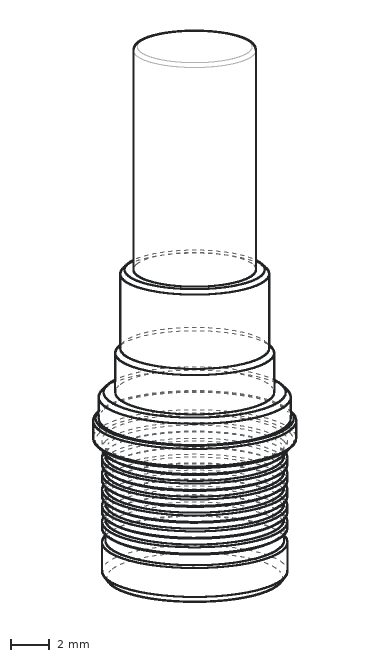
import cadquery as cq

total_height = 28.5
sleeve_radius = 4.8
groove_radius = 4.62
flange_radius = 5.25
shoulder_radius = 4.95
collar_radius = 4.1
neck_radius = 3.85
pin_radius = 3.15

flange_bottom = 7.35
flange_top = 8.55
shoulder_top = 9.95
collar_top = 12.3
neck_top = 16.53

wall_rise = 0.1
wall_slope = sleeve_radius - groove_radius
lowest_floor_bottom = 2.0
first_ring_bottom = 2.56
ring_count = 5
ring_pitch = 0.85
ring_thickness = 0.55

base_chamfer_height = 0.35
base_chamfer_width = 0.25
flange_chamfer = 0.128
shoulder_chamfer = 0.25
collar_chamfer = collar_radius - neck_radius
neck_chamfer = 0.23
pin_fillet = 0.2


def cylinder(radius, bottom, top):
    """Upright cylinder on the part axis between two heights."""
    return cq.Workplane("XY").workplane(offset=bottom).circle(radius).extrude(top - bottom)


def groove(floor_bottom, floor_top):
    """Ring-shaped cutter for a flat-bottomed groove with sloping walls."""
    profile = [
        (groove_radius, floor_bottom),
        (sleeve_radius, floor_bottom - wall_rise),
        (sleeve_radius + wall_slope, floor_bottom - wall_rise),
        (sleeve_radius + wall_slope, floor_top + wall_rise),
        (sleeve_radius, floor_top + wall_rise),
        (groove_radius, floor_top),
    ]
    return cq.Workplane("XZ").polyline(profile).close().revolve(360, (0, 0, 0), (0, 1, 0))


sleeve = (
    cylinder(sleeve_radius, 0, flange_bottom)
    .faces("<Z")
    .chamfer(base_chamfer_height, base_chamfer_width)
)
floor_bottom = lowest_floor_bottom
for ring in range(ring_count + 1):
    ring_bottom = first_ring_bottom + ring * ring_pitch
    sleeve = sleeve.cut(groove(floor_bottom, ring_bottom))
    floor_bottom = ring_bottom + ring_thickness

flange = cylinder(flange_radius, flange_bottom, flange_top).edges().chamfer(flange_chamfer)
shoulder = cylinder(shoulder_radius, flange_top, shoulder_top).faces(">Z").chamfer(shoulder_chamfer)
collar = cylinder(collar_radius, shoulder_top, collar_top).faces(">Z").chamfer(collar_chamfer)
neck = cylinder(neck_radius, collar_top, neck_top).faces(">Z").chamfer(neck_chamfer)
pin = cylinder(pin_radius, neck_top, total_height).faces(">Z").fillet(pin_fillet)

result = sleeve
for section in (flange, shoulder, collar, neck, pin):
    result = result.union(section)